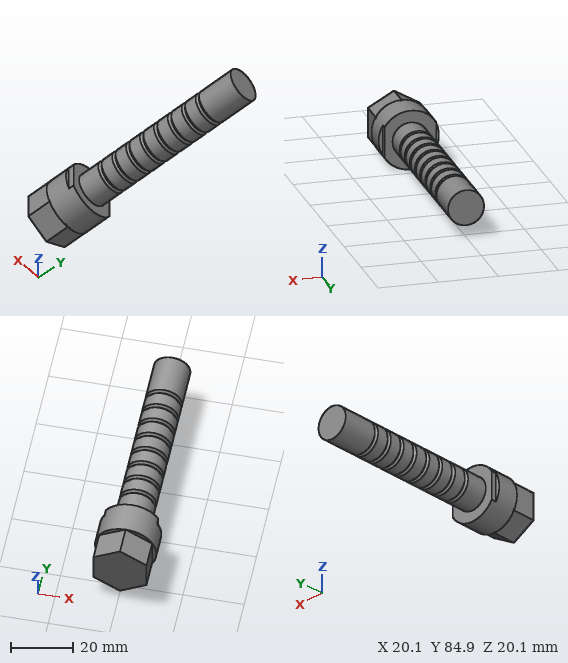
import cadquery as cq

TOTAL_LENGTH = 84.91

HEX_LENGTH = 9.2
COLLAR_DIAMETER = 20.1
COLLAR_LENGTH = 10.3
HEAD_LENGTH = HEX_LENGTH + COLLAR_LENGTH
FLAT_LENGTH = 2.0
ACROSS_COLLAR_FLATS = 17.2
HEX_SIDES = 6
HEX_ACROSS_CORNERS = 20.0

ROD_DIAMETER = 12.0
ROD_RADIUS = ROD_DIAMETER / 2
ROD_LENGTH = TOTAL_LENGTH - HEAD_LENGTH
GROOVE_COUNT = 8
GROOVE_PITCH = 6.0
GROOVE_DEPTH = 0.75
GROOVE_HALF_WIDTH = GROOVE_DEPTH
LAST_GROOVE_TO_ROD_END = 14.4

HEX_END_Y = 0.0
COLLAR_START_Y = HEX_END_Y + HEX_LENGTH
ROD_START_Y = HEX_END_Y + HEAD_LENGTH
ROD_END_Y = ROD_START_Y + ROD_LENGTH


def plane_at(y):
    """XZ plane at the given Y, extruding toward +Y, with local X along Z."""
    return cq.Plane(origin=(0, y, 0), xDir=(0, 0, 1), normal=(0, 1, 0))


def make_head():
    """Hexagonal end with a round collar; hex corners lie just inside the collar's circle."""
    hexagon = cq.Workplane(plane_at(HEX_END_Y)).polygon(HEX_SIDES, HEX_ACROSS_CORNERS).extrude(HEX_LENGTH)
    collar = cq.Workplane(plane_at(COLLAR_START_Y)).circle(COLLAR_DIAMETER / 2).extrude(COLLAR_LENGTH)
    flat_cuts = (
        cq.Workplane(plane_at(ROD_START_Y - FLAT_LENGTH))
        .rect(COLLAR_DIAMETER, 2 * COLLAR_DIAMETER)
        .rect(COLLAR_DIAMETER, ACROSS_COLLAR_FLATS)
        .extrude(FLAT_LENGTH)
    )
    return hexagon.union(collar.cut(flat_cuts))


def make_rod():
    """Revolved rod, butted against the collar, with evenly spaced V-grooves."""
    first_groove_y = ROD_END_Y - LAST_GROOVE_TO_ROD_END - (GROOVE_COUNT - 1) * GROOVE_PITCH
    profile = cq.Workplane("XY").moveTo(0, ROD_START_Y).lineTo(ROD_RADIUS, ROD_START_Y)
    for index in range(GROOVE_COUNT):
        groove_y = first_groove_y + index * GROOVE_PITCH
        profile = profile.lineTo(ROD_RADIUS, groove_y - GROOVE_HALF_WIDTH)
        profile = profile.lineTo(ROD_RADIUS - GROOVE_DEPTH, groove_y)
        profile = profile.lineTo(ROD_RADIUS, groove_y + GROOVE_HALF_WIDTH)
    profile = profile.lineTo(ROD_RADIUS, ROD_END_Y).lineTo(0, ROD_END_Y).close()
    return profile.revolve(360, (0, 0, 0), (0, 1, 0))


head = make_head()
rod = make_rod()
result = cq.Compound.makeCompound([head.val(), rod.val()])